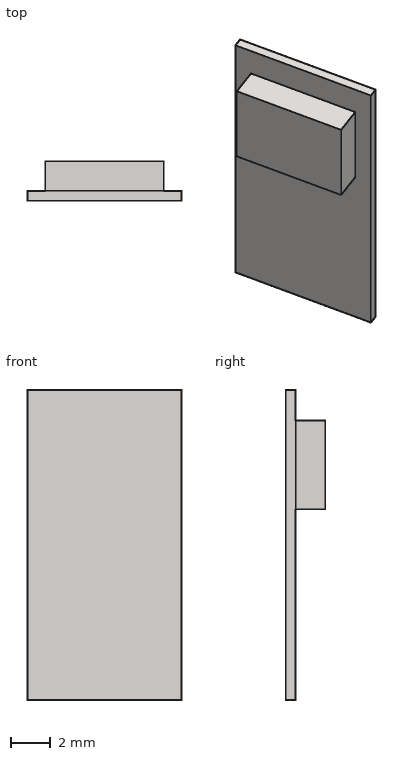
import cadquery as cq

plate_width = 7.8
plate_thickness = 0.5
plate_height = 15.7

block_width = 6.0
block_depth = 1.5
block_height = 4.5
block_top_gap = 1.55


def make_plate():
    """Plate centred on X, with its bottom edge at Z = 0."""
    return cq.Workplane("XY").box(
        plate_width, plate_thickness, plate_height, centered=(True, False, False)
    )


def make_block():
    """Block standing on the back face of the plate, near its top edge."""
    block_bottom = plate_height - block_top_gap - block_height
    return (
        cq.Workplane("XY")
        .box(block_width, block_depth, block_height, centered=(True, False, False))
        .translate((0, plate_thickness, block_bottom))
    )


result = make_plate().union(make_block())